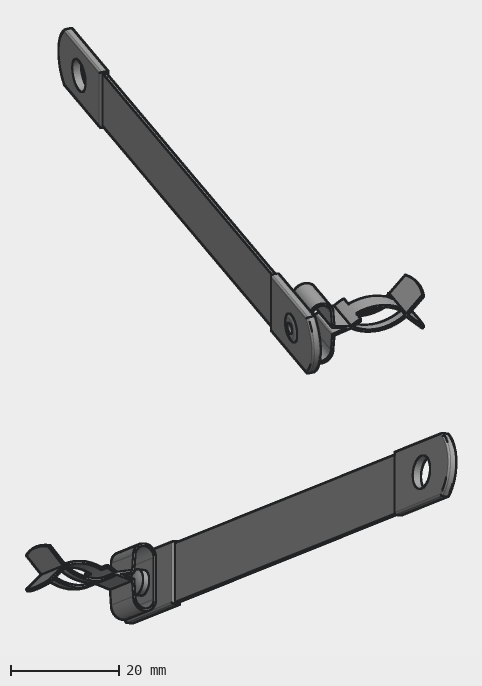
import cadquery as cq
import math

STRAP_LENGTH = 120.0
STRIP_HEIGHT = 11.3
STRIP_THICKNESS = 0.7
PAD_LENGTH = 19.9
PAD_HEIGHT = 12.0
PAD_THICKNESS = 1.8
PAD_TIP_RISE = 2.9
PAD_EDGE_ROUND = 0.4
HOLE_INSET = 10.0
BOLT_HOLE_DIAMETER = 6.2

SHANK_DIAMETER = 4.0
FRONT_HEAD_DIAMETER = 5.5
FRONT_HEAD_FACE_DIAMETER = 4.0
FRONT_HEAD_HEIGHT = 0.4
FRONT_HEAD_ROUND = 1.2
DIMPLE_DIAMETER = 2.2
DIMPLE_FLOOR_DIAMETER = 1.0
DIMPLE_DEPTH = 0.6
BACK_HEAD_DIAMETER = 4.8
BACK_HEAD_HEIGHT = 2.0
BACK_HEAD_DOME = 0.7

OVERALL_DEPTH = 25.8
CLIP_WIDTH = 8.0
CLIP_HEIGHT = 12.8
SHEET = 0.5
LOOP_DEPTH = 4.9
LEG_LEAN = 0.2
CORNER_HEIGHT = 0.8
NECK_LENGTH = 3.6
EYE_LENGTH = 11.0
EYE_RISE = 1.8
TIP_RISE = 0.7
FLARE_ANGLE = 45.0
TONGUE_WIDTH = 3.7
WINDOW_WIDTH = 4.2
WINDOW_START = 1.9
WINDOW_END_MARGIN = 0.2

rivet_x = STRAP_LENGTH / 2 - HOLE_INSET
pad_back = PAD_THICKNESS / 2
base_back = pad_back + SHEET
clip_end = OVERALL_DEPTH - pad_back - FRONT_HEAD_HEIGHT

loop_radius = (LOOP_DEPTH - SHEET) / 2
loop_y = pad_back + LOOP_DEPTH / 2
loop_z = CLIP_HEIGHT / 2 - LOOP_DEPTH / 2
base_y = loop_y - loop_radius
leg_y = loop_y + loop_radius
corner_y = leg_y + LEG_LEAN
cross_y = corner_y + NECK_LENGTH
far_cross_y = cross_y + EYE_LENGTH
eye_mid_y = cross_y + EYE_LENGTH / 2
window_y = cross_y + WINDOW_START
window_end_y = far_cross_y - WINDOW_END_MARGIN
flare_slope = math.radians(FLARE_ANGLE)
flare_run = clip_end - far_cross_y - SHEET / 2 * math.sin(flare_slope)
flare_length = flare_run / math.cos(flare_slope)


def y_cylinder(diameter, y_start, y_end, x):
    """Cylinder along Y, centred on Z = 0."""
    circle = cq.Workplane("XZ", origin=(x, y_start, 0)).circle(diameter / 2)
    return circle.extrude(y_start - y_end)


def make_pad():
    """Pad for the -X end, arched at its tip, with rounded front and back edges."""
    tip = -STRAP_LENGTH / 2
    half = PAD_HEIGHT / 2
    outline = (
        cq.Workplane("XZ", origin=(0, pad_back, 0))
        .moveTo(tip + PAD_LENGTH, -half)
        .lineTo(tip + PAD_LENGTH, half)
        .lineTo(tip + PAD_TIP_RISE, half)
        .threePointArc((tip, 0), (tip + PAD_TIP_RISE, -half))
        .close()
    )
    return outline.extrude(PAD_THICKNESS).faces("<Y or >Y").edges().fillet(PAD_EDGE_ROUND)


def make_strap():
    """Strip and two pads in one piece, with a bolt hole at -X and a rivet hole at +X."""
    strip_length = STRAP_LENGTH - PAD_LENGTH
    strip = cq.Workplane("XY").box(strip_length, STRIP_THICKNESS, STRIP_HEIGHT)
    left_pad = make_pad()
    strap = strip.union(left_pad).union(left_pad.mirror("YZ"))
    bolt_hole = y_cylinder(BOLT_HOLE_DIAMETER, -pad_back, pad_back, -rivet_x)
    rivet_hole = y_cylinder(SHANK_DIAMETER, -pad_back, pad_back, rivet_x)
    return strap.cut(bolt_hole).cut(rivet_hole)


def make_rivet():
    """Half section turned about the Y axis, then moved to the strap hole."""
    front = -pad_back - FRONT_HEAD_HEIGHT
    back = base_back + BACK_HEAD_HEIGHT
    back_radius = BACK_HEAD_DIAMETER / 2
    dome_radius = (back_radius**2 + BACK_HEAD_DOME**2) / (2 * BACK_HEAD_DOME)
    section = (
        cq.Workplane("XY")
        .moveTo(0, front + DIMPLE_DEPTH)
        .lineTo(DIMPLE_FLOOR_DIAMETER / 2, front + DIMPLE_DEPTH)
        .lineTo(DIMPLE_DIAMETER / 2, front)
        .lineTo(FRONT_HEAD_FACE_DIAMETER / 2, front)
        .radiusArc((FRONT_HEAD_DIAMETER / 2, -pad_back), -FRONT_HEAD_ROUND)
        .lineTo(SHANK_DIAMETER / 2, -pad_back)
        .lineTo(SHANK_DIAMETER / 2, base_back)
        .lineTo(back_radius, base_back)
        .lineTo(back_radius, back - BACK_HEAD_DOME)
        .radiusArc((0, back), -dome_radius)
        .close()
    )
    turned = section.revolve(360, (0, 0, 0), (0, 1, 0))
    return turned.translate((rivet_x, 0, 0))


def make_spring_arm():
    """One arm, bent from a sheet: base, loop, leg, neck and the lower side of the eye."""
    mid_sheet = (
        cq.Workplane("YZ", origin=(rivet_x, 0, 0))
        .moveTo(base_y, 0)
        .lineTo(base_y, loop_z)
        .threePointArc((loop_y, loop_z + loop_radius), (leg_y, loop_z))
        .lineTo(corner_y, CORNER_HEIGHT)
        .lineTo(cross_y, 0)
        .threePointArc((eye_mid_y, -EYE_RISE), (far_cross_y, 0))
    )
    return mid_sheet.wire().offset2D(SHEET / 2).extrude(CLIP_WIDTH / 2, both=True)


def make_flare():
    """Flat leaf with an arched tip, rising from the second crossing."""
    leaf_plane = cq.Plane(
        origin=(rivet_x, far_cross_y, 0),
        xDir=(1, 0, 0),
        normal=(0, -math.sin(flare_slope), math.cos(flare_slope)),
    )
    half = CLIP_WIDTH / 2
    leaf = (
        cq.Workplane(leaf_plane)
        .moveTo(-half, 0)
        .lineTo(half, 0)
        .lineTo(half, flare_length - TIP_RISE)
        .threePointArc((0, flare_length), (-half, flare_length - TIP_RISE))
        .close()
    )
    return leaf.extrude(SHEET / 2, both=True)


def eye_block(width):
    """Block of the given width over the eye's opening, used to cut one side of the eye."""
    length = window_end_y - window_y
    middle = (rivet_x, (window_y + window_end_y) / 2, 0)
    return cq.Workplane("XY", origin=middle).box(width, length, 2 * CLIP_HEIGHT)


def make_clip():
    """The tongue of one arm passes through the window of the other."""
    arm = make_spring_arm()
    window = eye_block(WINDOW_WIDTH)
    beside_tongue = eye_block(2 * CLIP_WIDTH).cut(eye_block(TONGUE_WIDTH))
    windowed_arm = arm.cut(window).union(make_flare())
    tongued_arm = arm.cut(beside_tongue).union(make_flare()).mirror("XY")
    rivet_hole = y_cylinder(SHANK_DIAMETER, pad_back, base_back, rivet_x)
    return windowed_arm.union(tongued_arm).cut(rivet_hole)


strap = make_strap().solids()
rivet = make_rivet()
clip = make_clip().solids()

result = cq.Compound.makeCompound([strap.val(), rivet.val(), clip.val()])